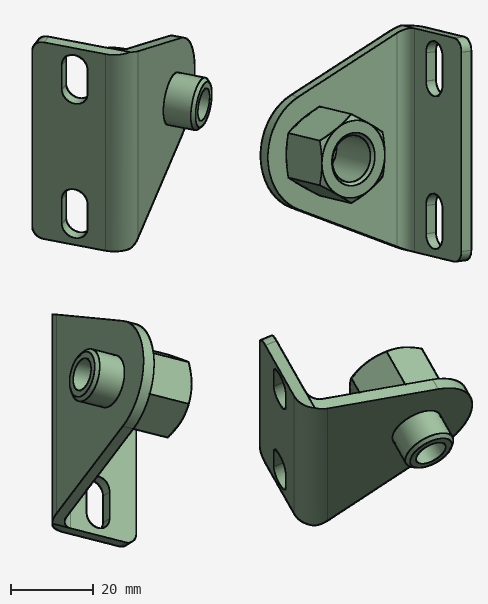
import cadquery as cq
import math

total_width = 33.0
total_depth = 45.0
height = 55.0

thickness = 3.0
stud_length = 8.0
inner_bend_radius = 3.0
outer_bend_radius = inner_bend_radius + thickness
plate_width = total_width - stud_length
plate_corner_radius = 3.0
lug_radius = 15.0

slot_width = 6.6
slot_length = 13.55
slot_x = 11.0
slot_spacing = 37.5

axis_y = total_depth - lug_radius
lug_inner_x = plate_width - thickness
nut_across_flats = 19.0
nut_length = 14.4
nut_corner_angle = math.radians(30)
nut_start_x = lug_inner_x - nut_length
stud_diameter = 13.0
stud_chamfer = 0.9

mouth_diameter = 13.0
socket_diameter = 11.45
seat_diameter = 9.95
bore_diameter = 8.0
socket_depth = nut_length


def make_bent_sheet():
    """L-shaped sheet with a rounded bend along Z."""
    sheet = (
        cq.Workplane("XY")
        .workplane(offset=-height / 2)
        .polyline([
            (0, 0),
            (plate_width, 0),
            (plate_width, total_depth),
            (lug_inner_x, total_depth),
            (lug_inner_x, thickness),
            (0, thickness),
        ])
        .close()
        .extrude(height)
    )
    inner_corner = cq.selectors.NearestToPointSelector((lug_inner_x, thickness, 0))
    outer_corner = cq.selectors.NearestToPointSelector((plate_width, 0, 0))
    sheet = sheet.edges("|Z").edges(inner_corner).fillet(inner_bend_radius)
    sheet = sheet.edges("|Z").edges(outer_corner).fillet(outer_bend_radius)
    return sheet.edges("|Y and <X").fillet(plate_corner_radius)


def make_side_outline():
    """Block whose YZ outline tapers from the plate to the round lug, tangent to it."""
    run = axis_y - thickness
    rise = height / 2
    corner_angle = math.atan2(rise, -run)
    tangent_angle = corner_angle - math.acos(lug_radius / math.hypot(run, rise))
    tangent_y = axis_y + lug_radius * math.cos(tangent_angle)
    tangent_z = lug_radius * math.sin(tangent_angle)
    return (
        cq.Workplane("YZ")
        .moveTo(0, -rise)
        .lineTo(thickness, -rise)
        .lineTo(tangent_y, -tangent_z)
        .threePointArc((total_depth, 0), (tangent_y, tangent_z))
        .lineTo(thickness, rise)
        .lineTo(0, rise)
        .close()
        .extrude(plate_width)
    )


def make_slots():
    return (
        cq.Workplane("XZ", origin=(slot_x, thickness, 0))
        .pushPoints([(0, -slot_spacing / 2), (0, slot_spacing / 2)])
        .slot2D(slot_length, slot_width, 90)
        .extrude(thickness)
    )


def revolve_about_axis(profile):
    """Revolve (x, radius) points about the nut axis."""
    return (
        cq.Workplane("XY", origin=(0, axis_y, 0))
        .polyline(profile)
        .close()
        .revolve(360, (0, 0, 0), (1, 0, 0))
    )


def make_nut():
    """Hexagon with corners along Z and conical corner chamfers on both ends."""
    flat_radius = nut_across_flats / 2
    corner_radius = flat_radius / math.cos(math.pi / 6)
    chamfer_length = (corner_radius - flat_radius) * math.tan(nut_corner_angle)
    hexagon = (
        cq.Workplane("YZ", origin=(nut_start_x, axis_y, 0))
        .transformed(rotate=(0, 0, 90))
        .polygon(6, 2 * corner_radius)
        .extrude(nut_length)
    )
    envelope = revolve_about_axis([
        (nut_start_x, 0),
        (nut_start_x, flat_radius),
        (nut_start_x + chamfer_length, corner_radius),
        (lug_inner_x - chamfer_length, corner_radius),
        (lug_inner_x, flat_radius),
        (lug_inner_x, 0),
    ])
    return hexagon.intersect(envelope)


def make_stud():
    return (
        cq.Workplane("YZ", origin=(lug_inner_x, axis_y, 0))
        .circle(stud_diameter / 2)
        .extrude(thickness + stud_length)
        .faces(">X")
        .chamfer(stud_chamfer)
    )


def make_bore():
    """Chamfered socket, flat shoulder, conical seat and through hole."""
    mouth_depth = (mouth_diameter - socket_diameter) / 2
    seat_depth = (seat_diameter - bore_diameter) / 2
    socket_end_x = nut_start_x + socket_depth
    return revolve_about_axis([
        (nut_start_x, 0),
        (nut_start_x, mouth_diameter / 2),
        (nut_start_x + mouth_depth, socket_diameter / 2),
        (socket_end_x, socket_diameter / 2),
        (socket_end_x, seat_diameter / 2),
        (socket_end_x + seat_depth, bore_diameter / 2),
        (total_width, bore_diameter / 2),
        (total_width, 0),
    ])


bracket = make_bent_sheet().intersect(make_side_outline()).cut(make_slots())
result = bracket.union(make_nut()).union(make_stud()).cut(make_bore())